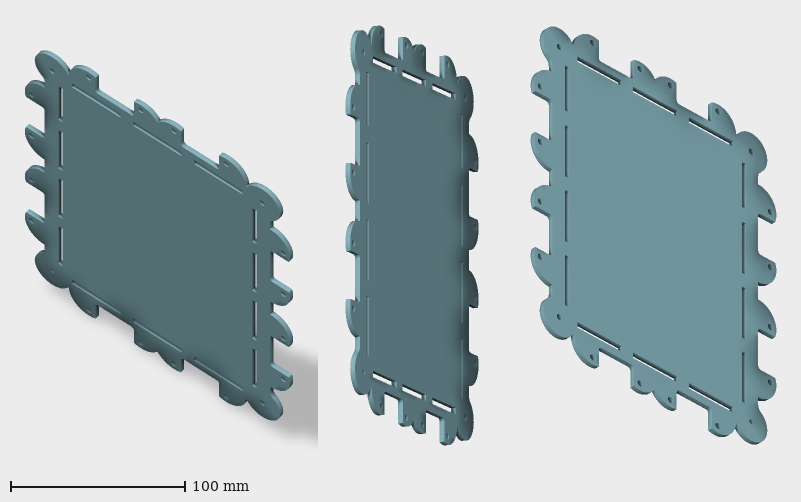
import cadquery as cq
import math

overall_width = 194.58
overall_height = 226.92
thickness = 3.0

tab_radius = 14.6
notch_width = 28.2
notch_corner_radius = 2.0
tab_hole_diameter = 4.0
tab_hole_to_notch = 5.0
tab_hole_inset = 4.85
top_notch_offset = 31.3
side_notch_offset = 39.75

body_width = overall_width - 2 * tab_radius
body_height = overall_height - 2 * tab_radius
half_width = body_width / 2
half_height = body_height / 2
arc_offset = notch_width / 2 + tab_hole_to_notch

lobe_radius = 12.9
lobe_x = 77.1
lobe_z = 93.3
lobe_hole_diameter = 4.0
small_lobe_hole_diameter = 3.0
blend_radius = 5.0

slot_length = 35.5
slot_pitch = 44.8
top_slot_width = 3.8
top_slot_z = 91.8
side_slot_width = 3.1
side_slot_x = 71.15
side_slot_limit = 82.8
low_slot_top = -48.0
second_slot_bottom = -38.6
third_slot_bottom = second_slot_bottom + slot_pitch
high_slot_bottom = 51.7
side_slot_spans = [
    (-side_slot_limit, low_slot_top),
    (second_slot_bottom, second_slot_bottom + slot_length),
    (third_slot_bottom, third_slot_bottom + slot_length),
    (high_slot_bottom, side_slot_limit),
]

SIGNS = (-1, 1)


def box(x, z, width, height):
    """Rectangular block through the plate thickness, centred at (x, z)."""
    return cq.Workplane("XY").box(width, thickness, height).translate((x, 0, z))


def disc(x, z, diameter):
    """Round block through the plate thickness, centred at (x, z)."""
    front = cq.Workplane("XZ", origin=(x, thickness / 2, z))
    return front.circle(diameter / 2).extrude(thickness)


def tab_pair():
    """Two tabs around a notch, for an edge along X at z = 0 with the body below it."""
    tabs = disc(-arc_offset, 0, 2 * tab_radius).union(disc(arc_offset, 0, 2 * tab_radius))
    pair_width = 2 * (arc_offset + tab_radius)
    inner_half = box(0, -tab_radius / 2, pair_width, tab_radius)
    return tabs.cut(inner_half)


def notch():
    """Notch between two tabs, with its two inner corners rounded."""
    opening = box(0, tab_radius / 2, notch_width, tab_radius)
    return opening.edges("|Y and <Z").fillet(notch_corner_radius)


def place_on_edge(shape, edge_distance, along, angle):
    """Move a shape made for the top edge to the edge turned by angle about Y."""
    moved = shape.translate((along, 0, edge_distance))
    return moved.rotate((0, 0, 0), (0, 1, 0), angle)


def edge_places():
    """Distance, position along the edge and rotation of every tab pair."""
    places = []
    for side in SIGNS:
        for angle in (0, 180):
            places.append((half_height, side * top_notch_offset, angle))
        for angle in (90, 270):
            places.append((half_width, side * side_notch_offset, angle))
    return places


def blend_filler(blend_centre, edge_point):
    """Filler beside the upper right lobe: a triangle with the blend circle cut away.

    The triangle joins the lobe centre, the blend centre and the blend's tangent point on the edge.
    """
    base = cq.Workplane("XZ", origin=(0, thickness / 2, 0))
    triangle = base.polyline([(lobe_x, lobe_z), blend_centre, edge_point]).close().extrude(thickness)
    return triangle.cut(disc(*blend_centre, 2 * blend_radius))


def blend_reach(edge_gap):
    """Distance along an edge from the lobe centre to the blend centre.

    The edge passes edge_gap away from the lobe centre.
    """
    centre_distance = lobe_radius + blend_radius
    return math.sqrt(centre_distance ** 2 - (edge_gap + blend_radius) ** 2)


def side_edge_blend():
    """Blend between the upper right lobe and the right edge of the body."""
    blend_z = lobe_z - blend_reach(half_width - lobe_x)
    return blend_filler((half_width + blend_radius, blend_z), (half_width, blend_z))


def top_edge_blend():
    """Blend between the upper right lobe and the top edge, running out into the nearest tab."""
    blend_x = lobe_x - blend_reach(half_height - lobe_z)
    return blend_filler((blend_x, half_height + blend_radius), (blend_x, half_height))


def add_lobe_blends(plate):
    """Both blends, mirrored to all four lobes."""
    for upper_right in (side_edge_blend(), top_edge_blend()):
        upper_left = upper_right.mirror("YZ")
        for upper in (upper_right, upper_left):
            plate = plate.union(upper).union(upper.mirror("XY"))
    return plate


def make_plate():
    """Plate with its full outline, before any holes or slots are cut."""
    tabs = tab_pair()
    plate = box(0, 0, body_width, body_height)
    for x_sign in SIGNS:
        for z_sign in SIGNS:
            plate = plate.union(disc(x_sign * lobe_x, z_sign * lobe_z, 2 * lobe_radius))
    for place in edge_places():
        plate = plate.union(place_on_edge(tabs, *place))
    plate = add_lobe_blends(plate)
    opening = notch()
    for place in edge_places():
        plate = plate.cut(place_on_edge(opening, *place))
    return plate


def cut_tab_holes(plate):
    for place in edge_places():
        for side in SIGNS:
            hole = disc(side * arc_offset, tab_radius - tab_hole_inset, tab_hole_diameter)
            plate = plate.cut(place_on_edge(hole, *place))
    return plate


def cut_lobe_holes(plate):
    for x_sign in SIGNS:
        for z_sign in SIGNS:
            is_small = x_sign < 0 and z_sign < 0
            diameter = small_lobe_hole_diameter if is_small else lobe_hole_diameter
            plate = plate.cut(disc(x_sign * lobe_x, z_sign * lobe_z, diameter))
    return plate


def cut_slots(plate):
    for side in SIGNS:
        for step in (-1, 0, 1):
            plate = plate.cut(box(step * slot_pitch, side * top_slot_z, slot_length, top_slot_width))
        for low, high in side_slot_spans:
            middle = (low + high) / 2
            plate = plate.cut(box(side * side_slot_x, middle, side_slot_width, high - low))
    return plate


plate = make_plate()
plate = cut_tab_holes(plate)
plate = cut_lobe_holes(plate)
result = cut_slots(plate)